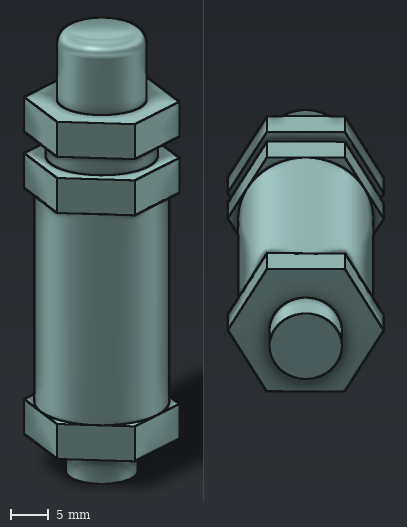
import cadquery as cq
import math

total_height = 63.0

across_flats = 18.0
hex_height = 5.0
across_corners = across_flats / math.cos(math.radians(30))

stub_diameter = 9.65
stub_height = 5.0
body_diameter = across_flats
neck_diameter = 15.0
neck_height = 3.0
button_diameter = 12.0
button_height = 10.0
button_edge_radius = 2.0

body_height = total_height - stub_height - 3 * hex_height - neck_height - button_height


def cylinder(diameter, height):
    return cq.Workplane("XY").circle(diameter / 2).extrude(height)


def hexagon(height):
    prism = cq.Workplane("XY").polygon(6, across_corners).extrude(height)
    return prism.rotate((0, 0, 0), (0, 0, 1), 90)


stub = cylinder(stub_diameter, stub_height)
body = cylinder(body_diameter, body_height)
neck = cylinder(neck_diameter, neck_height)
button = cylinder(button_diameter, button_height).faces(">Z").edges().fillet(button_edge_radius)
hex_collar = hexagon(hex_height)

stack = [
    (stub, stub_height),
    (hex_collar, hex_height),
    (body, body_height),
    (hex_collar, hex_height),
    (neck, neck_height),
    (hex_collar, hex_height),
    (button, button_height),
]

result = cq.Workplane("XY")
base_z = 0.0
for section, height in stack:
    result = result.add(section.translate((0, 0, base_z)))
    base_z += height
result = result.combine()